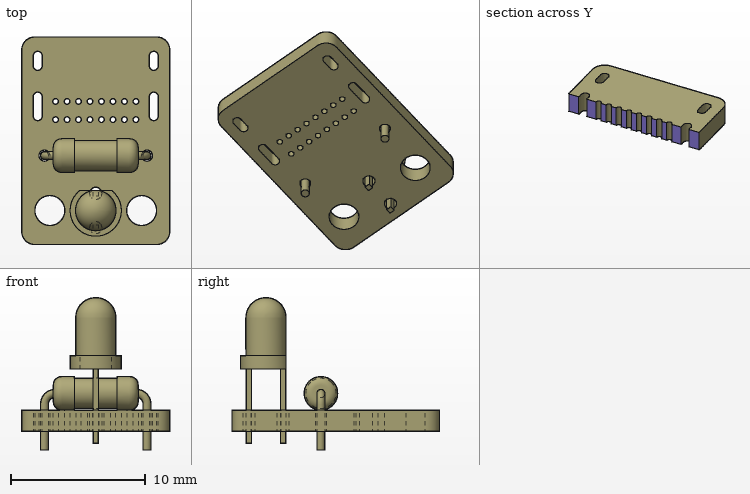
import cadquery as cq
import math

BOARD_WIDTH = 11.0
BOARD_LENGTH = 15.4
BOARD_THICKNESS = 1.57
BOARD_CORNER_RADIUS = 1.0

SLOT_X = 4.3
SLOT_WIDTH = 0.65
SHORT_SLOT_Y = 5.92
SHORT_SLOT_LENGTH = 1.4
LONG_SLOT_Y = 2.55
LONG_SLOT_LENGTH = 2.1

PIN_HOLE_DIAMETER = 0.4
PIN_HOLES_PER_ROW = 8
PIN_PITCH = 0.85
PIN_ROW_SPACING = 1.35
PIN_ROWS_Y = 2.24

MOUNT_HOLE_DIAMETER = 2.2
MOUNT_HOLE_X = 3.4
MOUNT_HOLE_Y = -5.17

RESISTOR_Y = -1.1
RESISTOR_LENGTH = 6.3
CAP_DIAMETER = 2.5
CAP_LENGTH = RESISTOR_LENGTH / 4
CAP_EDGE_RADIUS = CAP_DIAMETER / 4
BARREL_DIAMETER = 2.25
RESISTOR_AXIS_Z = BOARD_THICKNESS + CAP_DIAMETER / 2
RESISTOR_LEAD_DIAMETER = 0.6
RESISTOR_LEAD_HOLE_DIAMETER = 0.8
RESISTOR_LEAD_X = 3.8
RESISTOR_LEAD_BEND_RADIUS = 0.8
RESISTOR_LEAD_PROTRUSION = 1.38

LED_Y = MOUNT_HOLE_Y
LED_FLANGE_BOTTOM_Z = BOARD_THICKNESS + 3.05
LED_FLANGE_DIAMETER = 3.8
LED_FLANGE_THICKNESS = 1.0
LENS_DIAMETER = 3.0
LENS_STRAIGHT_HEIGHT = 2.8
LED_LEAD_SIZE = 0.4
LED_LEAD_SPACING = 2.54
LED_LEAD_PROTRUSION = 0.88
LED_LEAD_HOLE_DIAMETER = 0.9

LED_LEAD_POINTS = [(0, LED_Y + side * LED_LEAD_SPACING / 2) for side in (-1, 1)]


def mirrored_in_x(x, y):
    return [(-x, y), (x, y)]


def make_board():
    board = (
        cq.Workplane("XY")
        .rect(BOARD_WIDTH, BOARD_LENGTH)
        .extrude(BOARD_THICKNESS)
        .edges("|Z")
        .fillet(BOARD_CORNER_RADIUS)
    )

    slots = ((SHORT_SLOT_Y, SHORT_SLOT_LENGTH), (LONG_SLOT_Y, LONG_SLOT_LENGTH))
    for slot_y, slot_length in slots:
        slot_cutters = (
            cq.Workplane("XY")
            .pushPoints(mirrored_in_x(SLOT_X, slot_y))
            .slot2D(slot_length, SLOT_WIDTH, 90)
            .extrude(BOARD_THICKNESS)
        )
        board = board.cut(slot_cutters)

    pin_cutters = (
        cq.Workplane("XY")
        .center(0, PIN_ROWS_Y)
        .rarray(PIN_PITCH, PIN_ROW_SPACING, PIN_HOLES_PER_ROW, 2)
        .circle(PIN_HOLE_DIAMETER / 2)
        .extrude(BOARD_THICKNESS)
    )
    board = board.cut(pin_cutters)

    round_holes = (
        (MOUNT_HOLE_DIAMETER, mirrored_in_x(MOUNT_HOLE_X, MOUNT_HOLE_Y)),
        (RESISTOR_LEAD_HOLE_DIAMETER, mirrored_in_x(RESISTOR_LEAD_X, RESISTOR_Y)),
        (LED_LEAD_HOLE_DIAMETER, LED_LEAD_POINTS),
    )
    for diameter, points in round_holes:
        hole_cutters = (
            cq.Workplane("XY")
            .pushPoints(points)
            .circle(diameter / 2)
            .extrude(BOARD_THICKNESS)
        )
        board = board.cut(hole_cutters)
    return board


def make_resistor_lead(side):
    """Lead that drops through the board; side is -1 or +1 along X."""
    lead_x = side * RESISTOR_LEAD_X
    bend_bottom_z = RESISTOR_AXIS_Z - RESISTOR_LEAD_BEND_RADIUS
    bend_end_x = side * (RESISTOR_LEAD_X - RESISTOR_LEAD_BEND_RADIUS)
    arc_middle_offset = RESISTOR_LEAD_BEND_RADIUS * math.sqrt(0.5)
    arc_middle = (
        bend_end_x + side * arc_middle_offset,
        bend_bottom_z + arc_middle_offset,
    )
    buried_end_x = side * (RESISTOR_LENGTH / 2 - CAP_LENGTH)

    path = (
        cq.Workplane("XZ", origin=(0, RESISTOR_Y, 0))
        .moveTo(lead_x, -RESISTOR_LEAD_PROTRUSION)
        .lineTo(lead_x, bend_bottom_z)
        .threePointArc(arc_middle, (bend_end_x, RESISTOR_AXIS_Z))
        .lineTo(buried_end_x, RESISTOR_AXIS_Z)
    )
    return (
        cq.Workplane("XY", origin=(lead_x, RESISTOR_Y, -RESISTOR_LEAD_PROTRUSION))
        .circle(RESISTOR_LEAD_DIAMETER / 2)
        .sweep(path)
    )


def make_resistor():
    end_x = RESISTOR_LENGTH / 2
    barrel_length = RESISTOR_LENGTH - 2 * CAP_LENGTH
    resistor = (
        cq.Workplane("YZ", origin=(-barrel_length / 2, RESISTOR_Y, RESISTOR_AXIS_Z))
        .circle(BARREL_DIAMETER / 2)
        .extrude(barrel_length)
    )
    for side, outer_face in ((-1, "<X"), (1, ">X")):
        cap = (
            cq.Workplane("YZ", origin=(side * end_x, RESISTOR_Y, RESISTOR_AXIS_Z))
            .circle(CAP_DIAMETER / 2)
            .extrude(-side * CAP_LENGTH)
            .faces(outer_face)
            .edges()
            .fillet(CAP_EDGE_RADIUS)
        )
        resistor = resistor.union(cap).union(make_resistor_lead(side))
    return resistor


def make_led():
    lens_radius = LENS_DIAMETER / 2
    flange_top_z = LED_FLANGE_BOTTOM_Z + LED_FLANGE_THICKNESS

    flat_y = LED_Y + lens_radius
    flange = (
        cq.Workplane("XY", origin=(0, LED_Y, LED_FLANGE_BOTTOM_Z))
        .circle(LED_FLANGE_DIAMETER / 2)
        .extrude(LED_FLANGE_THICKNESS)
    )
    beyond_flat = (
        cq.Workplane("XY", origin=(0, flat_y, LED_FLANGE_BOTTOM_Z))
        .rect(LED_FLANGE_DIAMETER, LED_FLANGE_DIAMETER)
        .extrude(LED_FLANGE_THICKNESS)
        .translate((0, LED_FLANGE_DIAMETER / 2, 0))
    )

    dome_base_z = flange_top_z + LENS_STRAIGHT_HEIGHT
    dome_middle = (
        lens_radius * math.sqrt(0.5),
        dome_base_z + lens_radius * math.sqrt(0.5),
    )
    lens = (
        cq.Workplane("XZ", origin=(0, LED_Y, 0))
        .moveTo(0, LED_FLANGE_BOTTOM_Z)
        .lineTo(lens_radius, LED_FLANGE_BOTTOM_Z)
        .lineTo(lens_radius, dome_base_z)
        .threePointArc(dome_middle, (0, dome_base_z + lens_radius))
        .close()
        .revolve(360, (0, 0, 0), (0, 1, 0))
    )

    leads = (
        cq.Workplane("XY", origin=(0, 0, -LED_LEAD_PROTRUSION))
        .pushPoints(LED_LEAD_POINTS)
        .rect(LED_LEAD_SIZE, LED_LEAD_SIZE)
        .extrude(LED_LEAD_PROTRUSION + LED_FLANGE_BOTTOM_Z)
    )
    return flange.cut(beyond_flat).union(lens).union(leads)


board = make_board()
resistor = make_resistor()
led = make_led()

result = cq.Compound.makeCompound([body.solids().val() for body in (board, resistor, led)])